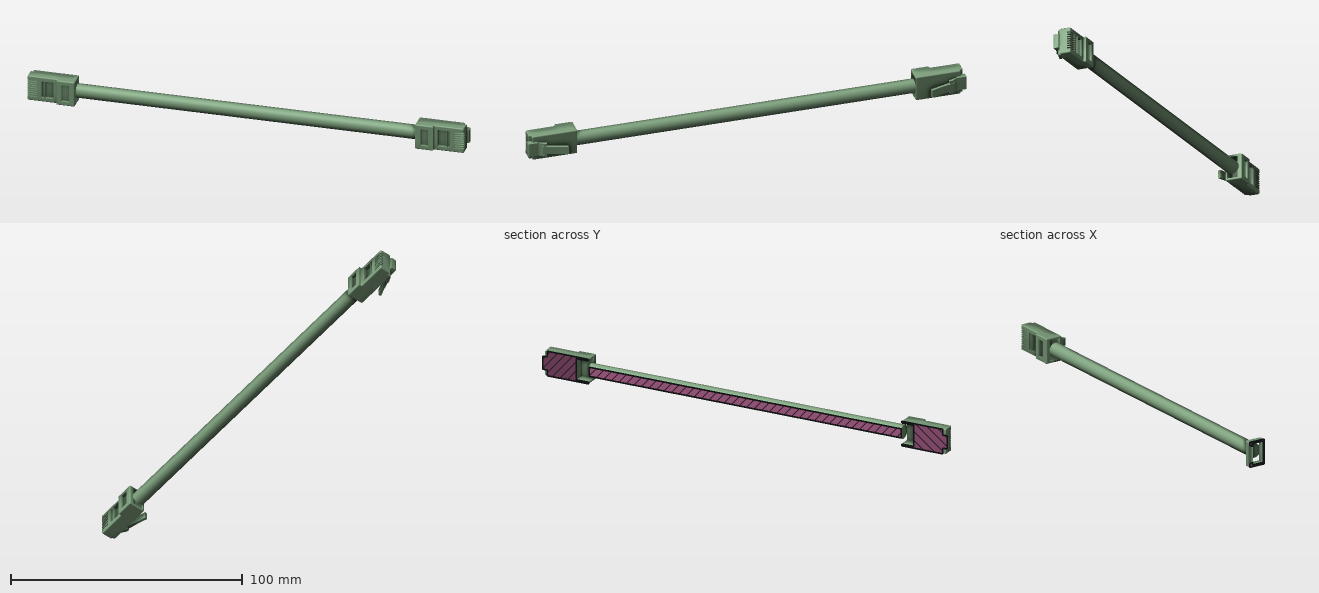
import cadquery as cq

overall_length = 197.4
overall_height = 13.8
cable_diameter = 6.3

plug_width = 11.6
body_length = 21.5
latch_overhang = 1.0
front_x = -overall_length / 2 + latch_overhang
rear_x = front_x + body_length
body_top_y = cable_diameter / 2
body_bottom_y = -3.4
heel_length = 8.0
heel_drop = 1.35
heel_bottom_y = body_bottom_y - heel_drop
step_x = rear_x - heel_length
edge_radius = 0.51

notch_length = 1.2
notch_floor_y = 1.8
notch_x = front_x + notch_length

contact_count = 8
contact_pitch = 1.03
contact_slot_width = 0.5
contact_slot_length = 4.3
contact_slot_depth = 1.48

recess_width = 7.9
groove_start_x = -91.4
groove_length = 1.09
groove_depth = 1.48
body_pocket_start_x = -90.0
body_pocket_length = 4.0
body_pocket_depth = 1.8
body_pocket_slope = 0.5
heel_pocket_start_x = -82.1
heel_pocket_length = 3.4
heel_pocket_depth = 1.48

cavity_depth = 6.0
cavity_top_y = 2.4
cavity_bottom_y = -2.8
cavity_width = 9.7

latch_width = 6.3
lever_width = 3.5
nose_x = -overall_length / 2
nose_top_y = 4.3
hinge_bottom = (-94.5, 3.7)
hinge_top = (-94.1, nose_top_y)
shoulder_front = (-92.0, 6.0)
shoulder_rear = (-90.8, 6.1)
shoulder_bottom = (-90.5, 5.1)
lever_foot = (-93.2, 5.0)
lever_start = (-92.5, 6.0)
lever_knee = (-86.0, 7.7)
tip_top = (-82.0, heel_bottom_y + overall_height)
tip_bottom = (-81.7, 7.9)


def slab(points, width):
    """Prism with the given XY outline, centred on z = 0."""
    return cq.Workplane("XY").polyline(points).close().extrude(width / 2, both=True)


def underside_box(start_x, length, width, bottom_y, depth, z=0.0):
    """Box that reaches up from the underside at bottom_y."""
    return (
        cq.Workplane("XY")
        .box(length, depth, width, centered=(False, False, True))
        .translate((start_x, bottom_y, z))
    )


def make_shell():
    """Plug body with its heel, the latch notch and rounded outer edges."""
    outline = [
        (front_x, body_bottom_y),
        (front_x, notch_floor_y),
        (notch_x, notch_floor_y),
        (notch_x, body_top_y),
        (rear_x, body_top_y),
        (rear_x, heel_bottom_y),
        (step_x, heel_bottom_y),
        (step_x, body_bottom_y),
    ]
    shell = slab(outline, plug_width)
    rounded_corners = [outline[0], outline[3], outline[4], outline[5], outline[7]]
    edges = shell.faces("<Z or >Z").edges()
    for x, y in rounded_corners:
        edges = edges.add(shell.edges(cq.selectors.NearestToPointSelector((x, y, 0))))
    return edges.fillet(edge_radius)


def make_body_pocket():
    """Pocket volume in front of the heel, with a sloping front wall."""
    end_x = body_pocket_start_x + body_pocket_length
    floor_y = body_bottom_y + body_pocket_depth
    outline = [
        (body_pocket_start_x, body_bottom_y),
        (body_pocket_start_x + body_pocket_slope, floor_y),
        (end_x, floor_y),
        (end_x, body_bottom_y),
    ]
    return slab(outline, recess_width)


def make_cavity():
    """Rectangular cavity volume behind the rear opening."""
    start_x = rear_x - cavity_depth
    outline = [
        (start_x, cavity_bottom_y),
        (start_x, cavity_top_y),
        (rear_x, cavity_top_y),
        (rear_x, cavity_bottom_y),
    ]
    return slab(outline, cavity_width)


def cut_recesses(shell):
    """Cut the contact slots, the groove and the two pockets."""
    for index in range(contact_count):
        z = (index - (contact_count - 1) / 2) * contact_pitch
        shell = shell.cut(
            underside_box(
                front_x, contact_slot_length, contact_slot_width, body_bottom_y, contact_slot_depth, z
            )
        )
    groove = underside_box(groove_start_x, groove_length, recess_width, body_bottom_y, groove_depth)
    heel_pocket = underside_box(
        heel_pocket_start_x, heel_pocket_length, recess_width, heel_bottom_y, heel_pocket_depth
    )
    return shell.cut(groove).cut(make_body_pocket()).cut(heel_pocket)


def make_latch():
    """Latch: a wide root with shoulders, then a narrow lever that rises to the rear."""
    root = slab(
        [
            (nose_x, notch_floor_y),
            (nose_x, nose_top_y),
            hinge_top,
            shoulder_front,
            shoulder_rear,
            shoulder_bottom,
            hinge_bottom,
            (hinge_bottom[0], body_top_y),
            (notch_x, body_top_y),
            (notch_x, notch_floor_y),
        ],
        latch_width,
    )
    root = root.edges(cq.selectors.NearestToPointSelector((nose_x, nose_top_y, 0))).fillet(edge_radius)
    lever = slab(
        [hinge_bottom, hinge_top, lever_foot, lever_start, lever_knee, tip_top, tip_bottom], lever_width
    )
    return root.union(lever)


def make_plug():
    """One complete plug at the -X end; the cable butts against its rear face."""
    shell = cut_recesses(make_shell()).cut(make_cavity())
    return shell.union(make_latch())


def make_cable():
    """Round cable between the rear faces of the two plugs."""
    return cq.Workplane("YZ", origin=(rear_x, 0, 0)).circle(cable_diameter / 2).extrude(-2 * rear_x)


cable = make_cable()
left_plug = make_plug()
right_plug = left_plug.mirror("YZ")

result = cq.Compound.makeCompound([cable.val(), left_plug.val(), right_plug.val()])